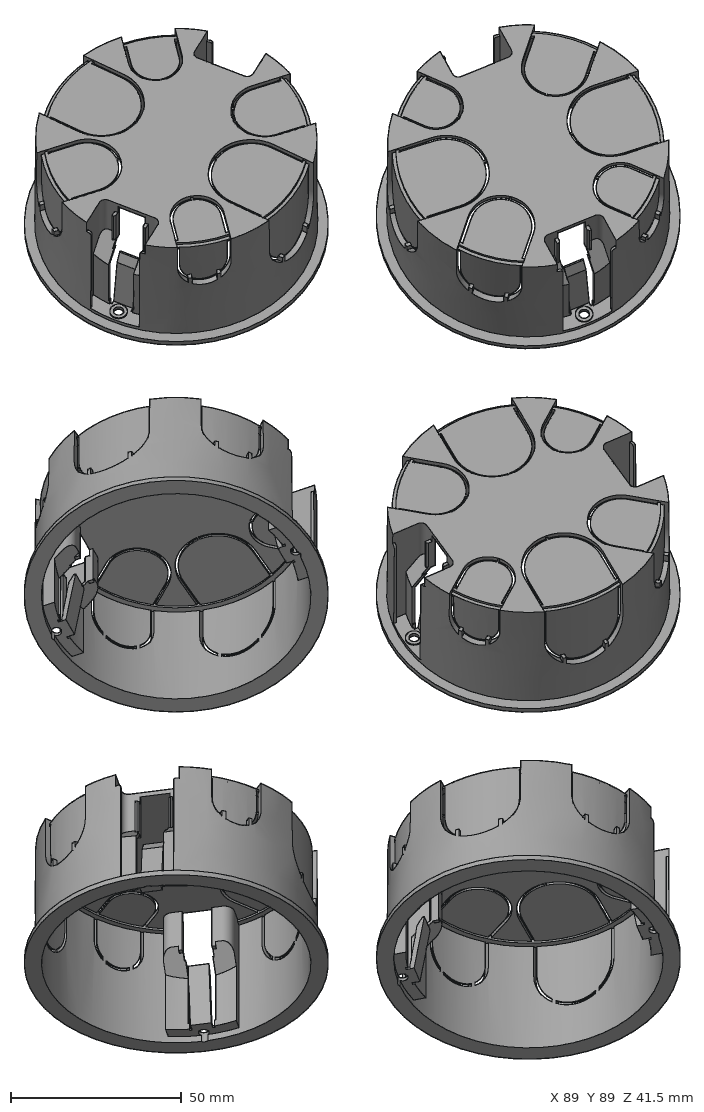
import cadquery as cq
import math

rim_radius = 44.5
rim_height = 1.7
height = 41.5
foot_radius = 41.5
crown_radius = 41.2
cavity_radius = 39.4
plate = 1.5
ceiling = height - plate
corner_band_radius = 37.8
corner_band_base = 39.25

panel_radius = 39.9
panel_setback = 0.7
panel_top = height - panel_setback
panel_step_radius = 38.8
panel_ledge = ceiling
slot_width = 0.9
top_bridge_width = 0.6
tab_width = 1.2
tab_spread = 0.54
tab_rise = 2.3
knockouts = [
    (175.2, 12.55, 13.0, 15.0),
    (228.0, 10.0, 18.0, 19.6),
    (127.9, 8.0, 22.25, 23.6),
]

pocket_half_width = 9.5
pocket_back = 29.7
pocket_wall = 1.1
pocket_fillet = 2.0
pocket_floor = 2.9
pocket_floor_plate = 0.7
pocket_underside = pocket_floor - pocket_floor_plate
slope_top = 27.95
slope_angle = math.radians(45)
step_radius = 36.9
lip_inner_radius = 40.5
lip_half_gap = 7.9
lip_top = 37.4
lip_fillet = 0.8

window_steps = [(4.45, 24.5), (4.1, 4.4), (3.7, pocket_floor)]
floor_gap_reach = 36.3
tongue_width = 6.2
tongue_base = 35.2
tongue_bend = (33.0, 18.5)
tongue_tip = (31.3, 21.45)
tongue_tip_back = 30.8
tongue_heel = 33.9
rib_inner = window_steps[0][0]
rib_width = 1.1
rib_depth = 1.8
rib_bottom = 26.0
rib_bevel = 0.5
boss_radius = 2.6
boss_height = 0.45
screw_radius = 1.5
screw_place = 38.3

clear = 4.45
overlap = 0.45
pick_margin = 0.1


def cylinder(radius, bottom, top):
    return cq.Workplane("XY").workplane(offset=bottom).circle(radius).extrude(top - bottom)


def box(x_range, y_range, z_range):
    sizes = [high - low for low, high in (x_range, y_range, z_range)]
    return cq.Workplane("XY").box(*sizes, centered=False).translate((x_range[0], y_range[0], z_range[0]))


def both_sides(solid):
    """The solid together with its copy turned half a turn about the axis."""
    return solid.union(solid.rotate((0, 0, 0), (0, 0, 1), 180))


def outer_wall():
    outline = [(0, 0), (foot_radius, 0), (crown_radius, height), (0, height)]
    return cq.Workplane("XZ").polyline(outline).close().revolve(360, (0, 0), (0, 1))


def arch(plane, half_width, apex, end):
    """Round-ended outline from its apex, on the plane's first axis, to a straight end."""
    spring = apex + half_width
    return (
        cq.Workplane(plane)
        .moveTo(end, half_width)
        .lineTo(spring, half_width)
        .threePointArc((apex, 0), (spring, -half_width))
        .lineTo(end, -half_width)
        .close()
    )


def top_arch(half_width, apex):
    return arch("XY", half_width, apex, rim_radius).extrude(height).translate((0, 0, ceiling - plate))


def side_arch(half_width, apex):
    upward = cq.Plane(origin=(cavity_radius - 2 * clear, 0, 0), xDir=(0, 0, 1), normal=(1, 0, 0))
    return arch(upward, half_width, apex, height + clear).extrude(rim_radius)


def panel_core():
    outline = [
        (0, 0),
        (panel_radius, 0),
        (panel_radius, panel_ledge),
        (panel_step_radius, panel_ledge),
        (panel_step_radius, panel_top),
        (0, panel_top),
    ]
    return cq.Workplane("XZ").polyline(outline).close().revolve(360, (0, 0), (0, 1))


def knockout_cut(half_width, top_apex, side_apex):
    inner_half = half_width - slot_width
    top = top_arch(half_width, top_apex)
    side = side_arch(half_width, side_apex)
    recess = top.union(side).cut(panel_core())

    top_slot = top.cut(top_arch(inner_half, top_apex + slot_width))
    top_slot = top_slot.intersect(cylinder(corner_band_radius, 0, 2 * height))
    half_bridge = top_bridge_width / 2
    bridge = box((0, top_apex + 2 * slot_width), (-half_bridge, half_bridge), (0, 2 * height))

    side_slot = side.cut(side_arch(inner_half, side_apex + slot_width))
    side_slot = side_slot.intersect(cylinder(2 * rim_radius, 0, corner_band_base))
    side_cut = recess.union(side_slot).cut(knockout_tabs(half_width, side_apex))
    return side_cut.union(top_slot.cut(bridge))


def knockout_tabs(half_width, side_apex):
    """Two upright bars, left standing, that join the panel to the wall across the lower slot."""
    sideways = tab_spread * half_width
    arc_height = side_apex + half_width * (1 - math.sqrt(1 - tab_spread**2))
    tabs = cq.Workplane("XY")
    for middle in (-sideways, sideways):
        across = (middle - tab_width / 2, middle + tab_width / 2)
        tabs = tabs.union(box((0, 2 * rim_radius), across, (0, arc_height + tab_rise)))
    return tabs


def pocket_space(growth, floor):
    """Stepped space of the pocket, enlarged on all walls by the given growth."""
    half = pocket_half_width + growth
    back = pocket_back - growth
    space = box((-half, half), (back, rim_radius), (floor, height))
    space = space.edges("|Z and <Y").fillet(pocket_fillet + growth)
    drop = slope_top - growth * math.tan(slope_angle / 2)
    fall = (rim_radius - back) / math.tan(slope_angle)
    below_slope = (
        cq.Workplane("YZ")
        .polyline([(0, floor), (0, drop), (back, drop), (rim_radius, drop - fall), (rim_radius, floor)])
        .close()
        .extrude(rim_radius, both=True)
    )
    return space.cut(below_slope.intersect(cylinder(step_radius - growth, floor, height)))


def pocket_mouth():
    """Opening through the outer wall, wider above the lips."""
    outline = [
        (-lip_half_gap, pocket_floor),
        (-lip_half_gap, lip_top),
        (-pocket_half_width, lip_top),
        (-pocket_half_width, height),
        (pocket_half_width, height),
        (pocket_half_width, lip_top),
        (lip_half_gap, lip_top),
        (lip_half_gap, pocket_floor),
    ]
    mouth = cq.Workplane("XZ").polyline(outline).close().extrude(-rim_radius)
    lip_corners = cq.selectors.BoxSelector(
        (-lip_half_gap - pick_margin, 0, lip_top - pick_margin),
        (lip_half_gap + pick_margin, rim_radius, lip_top + pick_margin),
    )
    mouth = mouth.edges("|Y").edges(lip_corners).fillet(lip_fillet)
    return mouth.cut(cylinder(lip_inner_radius - overlap, 0, height))


def pocket_window():
    window = cq.Workplane("XY")
    top = ceiling
    depth = (pocket_back - clear, step_radius + overlap)
    for half, bottom in window_steps:
        window = window.union(box((-half, half), depth, (bottom, top)))
        top = bottom
    half = window_steps[-1][0]
    return window.union(box((-half, half), (depth[0], floor_gap_reach), (0, pocket_floor)))


def tongue():
    """Springy tongue leaning inward from the pocket floor."""
    outline = [
        (tongue_heel, pocket_underside),
        (step_radius, pocket_underside),
        (step_radius, pocket_floor),
        (tongue_base, pocket_floor),
        tongue_bend,
        tongue_tip,
        (tongue_tip_back, tongue_tip[1]),
    ]
    return cq.Workplane("YZ").polyline(outline).close().extrude(tongue_width / 2, both=True)


def window_ribs():
    rib = box(
        (rib_inner, rib_inner + rib_width),
        (pocket_back - pocket_wall, pocket_back + rib_depth),
        (rib_bottom, lip_top),
    )
    rib = rib.edges("|Z and >Y and <X").chamfer(rib_bevel)
    return rib.union(rib.mirror("YZ"))


def screw_cylinder(radius, bottom, top):
    return cylinder(radius, bottom, top).translate((0, screw_place, 0))


wall = outer_wall()
pocket_shell = pocket_space(pocket_wall, pocket_underside).intersect(wall)
pocket_hollow = pocket_space(0, pocket_floor).intersect(cylinder(lip_inner_radius, 0, height))
pocket_hollow = pocket_hollow.union(pocket_mouth())
boss = screw_cylinder(boss_radius, pocket_underside, pocket_floor + boss_height)
pocket_details = tongue().union(window_ribs()).union(boss)

cup = wall.union(cylinder(rim_radius, 0, rim_height))
cup = cup.cut(cylinder(cavity_radius, 0, corner_band_base)).cut(cylinder(corner_band_radius, 0, ceiling))
cup = cup.union(both_sides(pocket_shell))
cup = cup.cut(both_sides(pocket_hollow)).cut(both_sides(pocket_window()))
cup = cup.union(both_sides(pocket_details))
cup = cup.cut(both_sides(screw_cylinder(screw_radius, 0, height / 2)))

for azimuth, half_width, top_apex, side_apex in knockouts:
    cut = knockout_cut(half_width, top_apex, side_apex)
    for turn in (azimuth, azimuth + 180):
        cup = cup.cut(cut.rotate((0, 0, 0), (0, 0, 1), turn))

result = cup.solids()